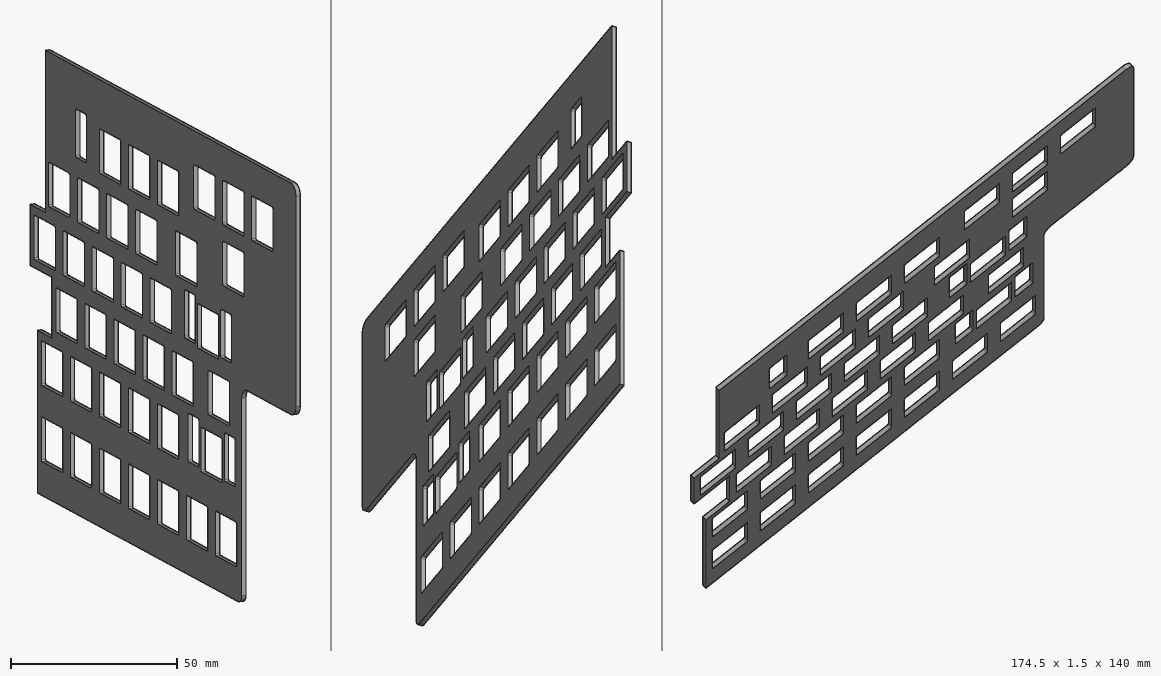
import cadquery as cq

ROW_SPAN = 114.3
PITCH = ROW_SPAN / 6

LENGTH = 174.5
HEIGHT = 140.0
THICKNESS = 1.5
UPPER_LEFT = -77.3
LOWER_LEFT = -82.5
NOTCH_RIGHT = -73.1
TAB_TOP = 19.2
TAB_BOTTOM = 0.0
NOTCH_BOTTOM = -19.0
LOWER_RIGHT = 51.7
STEP_Z = -2.5
LARGE_RADIUS = 3.3
SMALL_RADIUS = 2.5

SWITCH_SIZE = 14.0
STABILIZER_WIDTH = 7.0
STABILIZER_HEIGHT = 15.2
STABILIZER_OFFSET = 11.9
STABILIZER_RAISE = 1.5
CUTOUT_RADIUS = 0.5

FIRST_KEY_X = -73.0
TOP_ROW_Z = 47.6

KEY_ROWS = [
    (-0.25, [5.25, 6.25, 7.25]),
    (0, [2, 3, 4]),
    (0.75, [6.25]),
    (1, [0.25, 1.25, 2.25, 3.25, 4.625]),
    (2, [-0.25, 0.75, 1.75, 2.75, 3.75, 5.375]),
    (3, [0.5, 1.5, 2.5, 3.5, 4.5, 5.75]),
    (4, [0, 1, 2, 3, 4, 5.5]),
    (5.25, [0, 1, 2, 3, 4, 5, 6]),
]
STABILIZED_KEYS = [(2, 5.375), (4, 5.5)]
LONE_STABILIZER = (0, 1)


def key_centre(row, column):
    """Centre (X, Z) of a key given in pitches."""
    return (FIRST_KEY_X + column * PITCH, TOP_ROW_Z - row * PITCH)


def make_plate():
    """Stepped plate, centred on the origin, standing in the XZ plane."""
    right = LENGTH / 2
    left = -right
    top = HEIGHT / 2
    bottom = -top
    outline = [
        (UPPER_LEFT, top),
        (right, top),
        (right, STEP_Z),
        (LOWER_RIGHT, STEP_Z),
        (LOWER_RIGHT, bottom),
        (LOWER_LEFT, bottom),
        (LOWER_LEFT, NOTCH_BOTTOM),
        (NOTCH_RIGHT, NOTCH_BOTTOM),
        (NOTCH_RIGHT, TAB_BOTTOM),
        (left, TAB_BOTTOM),
        (left, TAB_TOP),
        (UPPER_LEFT, TAB_TOP),
    ]
    plate = cq.Workplane("XZ").polyline(outline).close().extrude(THICKNESS / 2, both=True)
    large_corners = [(right, top), (right, STEP_Z), (LOWER_RIGHT, STEP_Z)]
    plate = round_corners(plate, large_corners, LARGE_RADIUS)
    return round_corners(plate, [(LOWER_RIGHT, bottom)], SMALL_RADIUS)


def round_corners(plate, corners, radius):
    """Fillet the through-thickness edge at each (X, Z) corner."""
    for x, z in corners:
        plate = plate.edges(cq.selectors.NearestToPointSelector((x, 0, z))).fillet(radius)
    return plate


def make_cutouts(centres, width, height):
    """Round-cornered rectangular cutters through the plate."""
    cutters = cq.Workplane("XZ").pushPoints(centres).rect(width, height)
    return cutters.extrude(THICKNESS, both=True).edges("|Y").fillet(CUTOUT_RADIUS)


switch_centres = [key_centre(row, column) for row, columns in KEY_ROWS for column in columns]

stabilizer_centres = []
for x, z in [key_centre(*key) for key in STABILIZED_KEYS]:
    for side in (-1, 1):
        stabilizer_centres.append((x + side * STABILIZER_OFFSET, z + STABILIZER_RAISE))
lone_x, lone_z = key_centre(*LONE_STABILIZER)
stabilizer_centres.append((lone_x, lone_z + STABILIZER_RAISE))

result = make_plate()
result = result.cut(make_cutouts(switch_centres, SWITCH_SIZE, SWITCH_SIZE))
result = result.cut(make_cutouts(stabilizer_centres, STABILIZER_WIDTH, STABILIZER_HEIGHT))